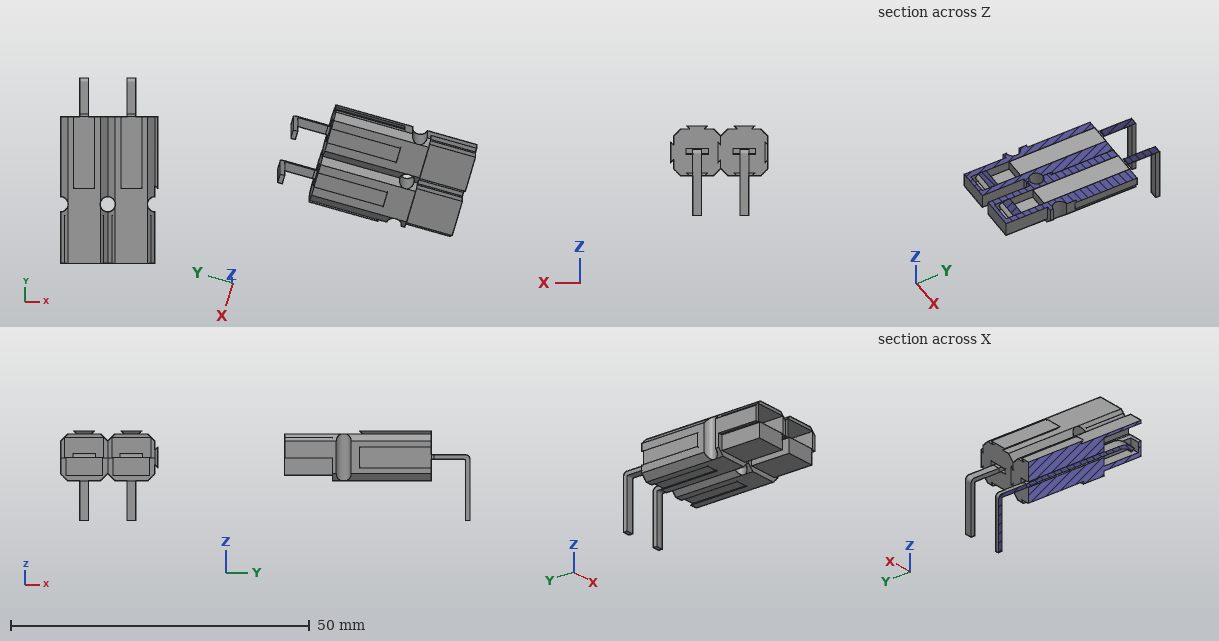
import cadquery as cq
import math


pitch = 7.9
housing_size = pitch
half_size = housing_size / 2
housing_length = 24.55
corner_chamfer = 1.22
connector_count = 2

front_depth = 7.98
hood_bottom = 3.83
hood_side_wall = 0.7
hood_top_wall = 0.65
tongue_width = 6.1
tongue_bottom = 0.95
tongue_top = half_size
tongue_overhang = 0.05

pin_radius = 1.25
pin_y = 9.88

key_height = 0.5
rail_tip_width = 3.5
key_neck_width = rail_tip_width - 2 * key_height
rail_length = 12.05
rail_front = housing_length - rail_length

strip_thickness = 0.8
blade_width = 3.75
tail_width = 1.5
blade_top = 4.58
tail_top = 4.4
tail_bottom = tail_top - strip_thickness
ramp_length = 3.0
joint_y = housing_length + 0.45
ramp_start_y = joint_y - ramp_length
tail_rear = 31.04
tail_tip_z = -6.65
bend_outer_radius = 0.8
bend_inner_radius = 0.2

nose_radius = 4.0
nose_angle = math.radians(53)
nose_y = 4.6
nose_z = blade_top - nose_radius

slot_front = 0.65
slot_floor = 1.95


def box(x_size, y_range, z_range):
    """Block centred on X = 0 between the given Y and Z limits."""
    y_size = y_range[1] - y_range[0]
    z_size = z_range[1] - z_range[0]
    block = cq.Workplane("XY").box(x_size, y_size, z_size, centered=(True, False, False))
    return block.translate((0, y_range[0], z_range[0]))


def dovetail():
    """Key standing on the housing top, flared at both sides; its end face is square."""
    top = housing_size + key_height
    return (
        cq.Workplane("XZ", origin=(0, housing_length, 0))
        .moveTo(-key_neck_width / 2, housing_size)
        .lineTo(-rail_tip_width / 2, top)
        .lineTo(rail_tip_width / 2, top)
        .lineTo(key_neck_width / 2, housing_size)
        .close()
        .extrude(rail_length)
    )


def rail():
    """Dovetail whose front end is undercut at the same slope as its sides."""
    undercut = (
        cq.Workplane("YZ", origin=(-rail_tip_width / 2, 0, 0))
        .moveTo(rail_front, housing_size)
        .lineTo(rail_front + key_height, housing_size)
        .lineTo(rail_front, housing_size + key_height)
        .close()
        .extrude(rail_tip_width)
    )
    return dovetail().cut(undercut)


def on_right_side(key):
    """Turn a key from the housing top to the +X side."""
    return key.rotate((0, 0, half_size), (0, 1, half_size), 90)


def housing():
    body = box(housing_size, (0, housing_length), (0, housing_size)).edges("|Y").chamfer(corner_chamfer)

    body = body.cut(box(housing_size, (0, front_depth), (0, hood_bottom)))
    body = body.union(box(tongue_width, (-tongue_overhang, front_depth), (tongue_bottom, tongue_top)))

    opening_width = housing_size - 2 * hood_side_wall
    body = body.cut(box(opening_width, (0, front_depth), (tongue_top, housing_size - hood_top_wall)))

    body = body.cut(box(blade_width, (slot_front, front_depth), (slot_floor, tongue_top)))
    body = body.cut(box(blade_width, (front_depth, housing_length), (tail_bottom, blade_top)))

    pin_recesses = (
        cq.Workplane("XY")
        .pushPoints([(-half_size, pin_y), (half_size, pin_y)])
        .circle(pin_radius)
        .extrude(housing_size)
    )
    body = body.cut(pin_recesses)

    body = body.union(rail()).union(on_right_side(rail()))
    bottom_groove = dovetail().translate((0, 0, -housing_size))
    left_groove = on_right_side(dovetail()).translate((-housing_size, 0, 0))
    return body.cut(bottom_groove).cut(left_groove)


def nose_point(radius, angle):
    """Point (Y, Z) on the nose curl, the angle measured forward from straight up."""
    return nose_y - radius * math.sin(angle), nose_z + radius * math.cos(angle)


def blade():
    nose_inner_radius = nose_radius - strip_thickness
    blade_bottom = blade_top - strip_thickness
    strip = (
        cq.Workplane("YZ", origin=(-blade_width / 2, 0, 0))
        .moveTo(*nose_point(nose_radius, nose_angle))
        .threePointArc(nose_point(nose_radius, nose_angle / 2), (nose_y, blade_top))
        .lineTo(ramp_start_y, blade_top)
        .lineTo(joint_y, tail_top)
        .lineTo(joint_y, tail_bottom)
        .lineTo(ramp_start_y, blade_bottom)
        .lineTo(nose_y, blade_bottom)
        .threePointArc(
            nose_point(nose_inner_radius, nose_angle / 2),
            nose_point(nose_inner_radius, nose_angle),
        )
        .close()
        .extrude(blade_width)
    )

    wide_part = box(blade_width, (0, ramp_start_y), (0, housing_size))
    narrow_part = box(tail_width, (ramp_start_y, joint_y), (0, housing_size))
    return strip.intersect(wide_part.union(narrow_part))


def tail():
    inner_y = tail_rear - strip_thickness
    return (
        cq.Workplane("YZ", origin=(-tail_width / 2, 0, 0))
        .moveTo(joint_y, tail_top)
        .lineTo(tail_rear - bend_outer_radius, tail_top)
        .radiusArc((tail_rear, tail_top - bend_outer_radius), bend_outer_radius)
        .lineTo(tail_rear, tail_tip_z)
        .lineTo(inner_y, tail_tip_z)
        .lineTo(inner_y, tail_bottom - bend_inner_radius)
        .radiusArc((inner_y - bend_inner_radius, tail_bottom), -bend_inner_radius)
        .lineTo(joint_y, tail_bottom)
        .close()
        .extrude(tail_width)
    )


bodies = []
for position in range(connector_count):
    offset = (position * pitch, 0, 0)
    for body in (housing(), blade(), tail()):
        bodies.extend(body.translate(offset).solids().vals())

result = cq.Compound.makeCompound(bodies)